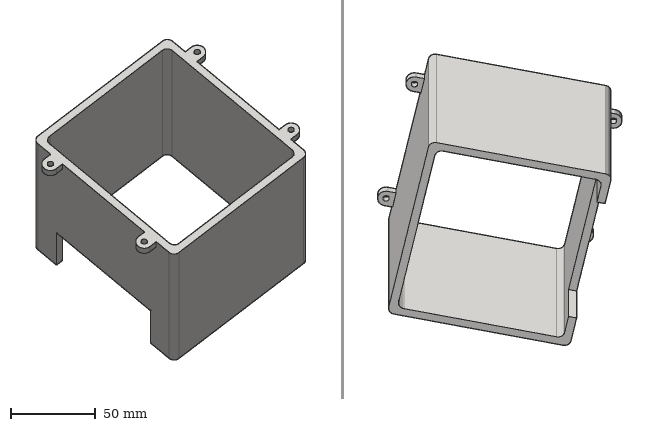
import cadquery as cq

length_x = 120.0
overall_y = 130.0
height = 103.0
wall = 5.0
outer_radius = 4.0
inner_radius = 4.0

ear_width = 10.0
ear_reach = 10.0
ear_thickness = 5.0
ear_spacing = 80.0
hole_diameter = 3.6

notch_width = 80.0
notch_height = 31.3

length_y = overall_y - 2 * ear_reach
ear_radius = ear_width / 2
hole_y = overall_y / 2 - ear_radius


def rounded_block(size_x, size_y, radius):
    """Full-height block with rounded vertical edges, standing on Z = 0."""
    block = cq.Workplane("XY").box(size_x, size_y, height, centered=(True, True, False))
    return block.edges("|Z").fillet(radius)


def ear(x, side):
    """Round-ended ear rooted in the front (side = -1) or back (side = 1) wall."""
    root_y = side * (length_y / 2 - wall / 2)
    tip_y = side * overall_y / 2
    return (
        cq.Workplane("XY", origin=(0, 0, height - ear_thickness))
        .moveTo(x - ear_radius, root_y)
        .lineTo(x - ear_radius, side * hole_y)
        .threePointArc((x, tip_y), (x + ear_radius, side * hole_y))
        .lineTo(x + ear_radius, root_y)
        .close()
        .extrude(ear_thickness)
    )


shell = rounded_block(length_x, length_y, outer_radius).cut(
    rounded_block(length_x - 2 * wall, length_y - 2 * wall, inner_radius)
)

for side in (-1, 1):
    for x in (-ear_spacing / 2, ear_spacing / 2):
        shell = shell.union(ear(x, side))

ear_holes = (
    cq.Workplane("XY", origin=(0, 0, height - ear_thickness))
    .rect(ear_spacing, 2 * hole_y, forConstruction=True)
    .vertices()
    .circle(hole_diameter / 2)
    .extrude(ear_thickness)
)

notch = cq.Workplane("XY", origin=(0, -length_y / 2, 0)).box(
    notch_width, 2 * wall, notch_height, centered=(True, True, False)
)

result = shell.cut(ear_holes).cut(notch)